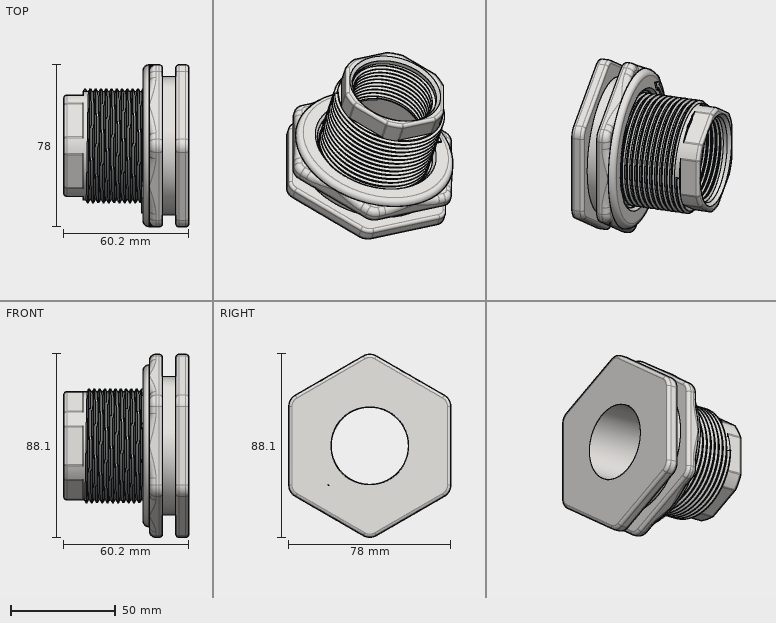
import cadquery as cq
import math

OVERALL_LENGTH = 60.2
ACROSS_FLATS = 77.98
HEX_THICKNESS = 6.35
HEX_CORNER_RADIUS = 6.35
EDGE_FILLET = 1.5875

SHANK_RADIUS = 26.1
WRENCH_LENGTH = 9.4
WRENCH_FLAT_DISTANCE = 24.38
BORE_RADIUS = 37.08 / 2
THREAD_PITCH = 2.54
THREAD_CREST_RADIUS = 27.4
THREAD_START = 10.3
THREAD_BASE_WIDTH = 1.8
THREAD_CREST_WIDTH = 0.4
THREAD_EMBED = 0.3

MOUTH_RADIUS = 22.5
MOUTH_DEPTH = 1.6
RELIEF_RADIUS = 20.9
RELIEF_END_X = 3.6
PIPE_START_X = 4.3
PIPE_END_X = 24.5
PIPE_START_RADIUS = 19.5
PIPE_TAPER = 1 / 32
PIPE_PITCH = 2.2
PIPE_GROOVE_START_X = 4.2
PIPE_GROOVE_DEPTH = 1.2
PIPE_GROOVE_ROOT_WIDTH = 0.4
PIPE_GROOVE_MOUTH_WIDTH = 1.8

GASKET_THICKNESS = 6.35
GASKET_OUTER_RADIUS = 66.67 / 2
GASKET_BORE_RADIUS = 57.15 / 2

COLLAR_THICKNESS = 3.05
COLLAR_FILLET = 3.0
NUT_FRONT_FILLET = 3.175
NUT_LEAD_IN_RADIUS = 30.0
NUT_THREAD_ROOT_RADIUS = 57.15 / 2
NUT_BORE_RADIUS = THREAD_CREST_RADIUS + 0.05
NUT_RELIEF_LENGTH = 0.8
BLEND_SECTIONS = 6

ARROW_HEIGHT = 0.8
ARROW_RADIUS = 33.42
ARROW_SHAFT_WIDTH = 1.52
ARROW_HEAD_WIDTH = 4.6
ARROW_TAIL_ANGLE = 18.6
ARROW_NECK_ANGLE = 45.2
ARROW_TIP_ANGLE = 54.8

FULL_TURN = 360

flange_x = OVERALL_LENGTH - HEX_THICKNESS
gasket_x = flange_x - GASKET_THICKNESS
nut_hex_x = gasket_x - HEX_THICKNESS
nut_x = nut_hex_x - COLLAR_THICKNESS
apothem = ACROSS_FLATS / 2


def cylinder(x, length, radius):
    return cq.Workplane("YZ").workplane(offset=x).circle(radius).extrude(length)


def revolve_about_x(profile):
    return cq.Workplane("XY").polyline(profile).close().revolve(FULL_TURN, (0, 0, 0), (1, 0, 0))


def hexagon(x, length, flat_distance):
    """Hexagonal prism along X with flats facing +Y and -Y."""
    corner_diameter = 2 * flat_distance / math.cos(math.pi / 6)
    plate = cq.Workplane("YZ").workplane(offset=x).polygon(6, corner_diameter).extrude(length)
    return plate.rotate((0, 0, 0), (1, 0, 0), 30)


def rounded_hexagon(x):
    plate = hexagon(x, HEX_THICKNESS, apothem)
    return plate.edges("|X").fillet(HEX_CORNER_RADIUS)


def helical_form(x, turns, pitch, base_radius, tip_radius, base_width, tip_width, taper=0, lefthand=False):
    """Trapezoidal form swept along a helix about X, starting on the +Y side."""
    outward = 1 if tip_radius > base_radius else -1
    height = turns * pitch
    cone_angle = math.degrees(math.atan(taper)) if taper else FULL_TURN
    helix = cq.Wire.makeHelix(
        pitch, height, base_radius, cq.Vector(0, 0, 0), cq.Vector(0, 0, 1), cone_angle, lefthand,
    )
    flank_slope = (base_width - tip_width) / 2 / abs(tip_radius - base_radius)
    foot_radius = base_radius - outward * THREAD_EMBED
    foot_width = base_width + 2 * flank_slope * THREAD_EMBED
    form = [
        (foot_radius, -foot_width / 2),
        (tip_radius, -tip_width / 2),
        (tip_radius, tip_width / 2),
        (foot_radius, foot_width / 2),
    ]
    ridge = cq.Workplane("XZ").polyline(form).close().sweep(cq.Workplane(helix), isFrenet=True)
    ridge = ridge.rotate((0, 0, 0), (1, 1, 1), 120)
    return ridge.translate((x, 0, 0))


def make_fitting():
    wrench_end = hexagon(0, WRENCH_LENGTH, WRENCH_FLAT_DISTANCE)
    wrench_end = wrench_end.intersect(cylinder(0, WRENCH_LENGTH, SHANK_RADIUS))
    wrench_end = wrench_end.edges("|X").fillet(EDGE_FILLET)
    wrench_end = wrench_end.faces("<X").edges().fillet(EDGE_FILLET)
    flange = rounded_hexagon(flange_x).faces("<X or >X").edges().fillet(EDGE_FILLET)

    thread_turns = (gasket_x - THREAD_START) / THREAD_PITCH
    thread = helical_form(
        THREAD_START, thread_turns, THREAD_PITCH, SHANK_RADIUS, THREAD_CREST_RADIUS,
        THREAD_BASE_WIDTH, THREAD_CREST_WIDTH, lefthand=True,
    )
    shank = cylinder(WRENCH_LENGTH, flange_x - WRENCH_LENGTH, SHANK_RADIUS).union(thread)
    return wrench_end.union(shank).union(flange).cut(fitting_cavity(), clean=False)


def fitting_cavity():
    """Open mouth, relief, tapered pipe thread and plain bore as one cutting solid."""
    pipe_length = PIPE_END_X - PIPE_START_X
    pipe_end_radius = PIPE_START_RADIUS - pipe_length * PIPE_TAPER
    profile = [
        (0, 0),
        (0, MOUTH_RADIUS),
        (MOUTH_DEPTH, RELIEF_RADIUS),
        (RELIEF_END_X, RELIEF_RADIUS),
        (PIPE_START_X, PIPE_START_RADIUS),
        (PIPE_END_X, pipe_end_radius),
        (PIPE_END_X, BORE_RADIUS),
        (OVERALL_LENGTH, BORE_RADIUS),
        (OVERALL_LENGTH, 0),
    ]
    groove_turns = (PIPE_END_X - PIPE_GROOVE_START_X) / PIPE_PITCH
    groove = helical_form(
        PIPE_GROOVE_START_X, groove_turns, PIPE_PITCH, PIPE_START_RADIUS,
        PIPE_START_RADIUS + PIPE_GROOVE_DEPTH, PIPE_GROOVE_MOUTH_WIDTH, PIPE_GROOVE_ROOT_WIDTH,
        taper=-PIPE_TAPER,
    )
    return revolve_about_x(profile).union(groove)


def make_gasket():
    return cylinder(gasket_x, GASKET_THICKNESS, GASKET_OUTER_RADIUS).cut(
        cylinder(gasket_x, GASKET_THICKNESS, GASKET_BORE_RADIUS))


def blend_cutter(reach):
    """Removes the edge of the +Y flat from mid-flat to `reach` along +Z.

    Each section is an arc tangent to the flat that starts on the collar's circle.
    """
    overhang = 1.0
    sections = []
    for i in range(BLEND_SECTIONS):
        along = reach * max(i / (BLEND_SECTIONS - 1), 0.02)
        depth = apothem - math.sqrt(apothem**2 - along**2)
        drop = max(NUT_FRONT_FILLET - depth, 0)
        run = math.sqrt(NUT_FRONT_FILLET**2 - drop**2)
        centre = (nut_hex_x + run, apothem - NUT_FRONT_FILLET)
        mid_angle = (math.pi / 2 + math.pi - math.asin(drop / NUT_FRONT_FILLET)) / 2
        arc_middle = (
            centre[0] + NUT_FRONT_FILLET * math.cos(mid_angle),
            centre[1] + NUT_FRONT_FILLET * math.sin(mid_angle),
        )
        section = (
            cq.Workplane("XY").workplane(offset=along)
            .moveTo(nut_hex_x, apothem - depth)
            .threePointArc(arc_middle, (nut_hex_x + run, apothem))
            .lineTo(nut_hex_x + run, apothem + overhang)
            .lineTo(nut_hex_x, apothem + overhang)
            .close()
        )
        sections.append(section.val())
    return cq.Workplane(cq.Solid.makeLoft(sections, False))


def make_nut_hexagon():
    """Hexagon whose -X edge rounding fades to nothing where the collar touches each flat."""
    plain = rounded_hexagon(nut_hex_x).faces(">X").edges().fillet(EDGE_FILLET)
    body = plain.faces("<X").edges().fillet(NUT_FRONT_FILLET)
    reach = math.sqrt(apothem**2 - (apothem - NUT_FRONT_FILLET)**2)
    side = cq.Workplane("XY").box(HEX_THICKNESS, apothem, 2 * reach).translate(
        (nut_hex_x + HEX_THICKNESS / 2, apothem / 2, 0))
    cutter = blend_cutter(reach)
    side = side.intersect(plain).cut(cutter).cut(cutter.mirror("XY"))
    for i in range(6):
        body = body.union(side.rotate((0, 0, 0), (1, 0, 0), 60 * i))
    return body


def nut_cavity():
    """Conical lead-in, short relief and threaded bore as one cutting solid."""
    thread_depth = NUT_THREAD_ROOT_RADIUS - NUT_BORE_RADIUS
    relief_x = nut_x + NUT_LEAD_IN_RADIUS - NUT_THREAD_ROOT_RADIUS
    shoulder_x = relief_x + NUT_RELIEF_LENGTH
    bore_x = shoulder_x + thread_depth * math.tan(math.pi / 6)
    profile = [
        (nut_x, 0),
        (nut_x, NUT_LEAD_IN_RADIUS),
        (relief_x, NUT_THREAD_ROOT_RADIUS),
        (shoulder_x, NUT_THREAD_ROOT_RADIUS),
        (bore_x, NUT_BORE_RADIUS),
        (gasket_x, NUT_BORE_RADIUS),
        (gasket_x, 0),
    ]
    groove = helical_form(
        bore_x, (gasket_x - bore_x) / THREAD_PITCH, THREAD_PITCH, NUT_BORE_RADIUS,
        NUT_THREAD_ROOT_RADIUS, THREAD_BASE_WIDTH, THREAD_CREST_WIDTH, lefthand=True,
    )
    return revolve_about_x(profile).union(groove)


def arrow_point(radius, angle):
    return (-radius * math.cos(math.radians(angle)), radius * math.sin(math.radians(angle)))


def make_arrow():
    shaft_outer = ARROW_RADIUS + ARROW_SHAFT_WIDTH / 2
    shaft_inner = ARROW_RADIUS - ARROW_SHAFT_WIDTH / 2
    middle_angle = (ARROW_TAIL_ANGLE + ARROW_NECK_ANGLE) / 2
    return (
        cq.Workplane("YZ").workplane(offset=nut_x - ARROW_HEIGHT)
        .moveTo(*arrow_point(shaft_outer, ARROW_TAIL_ANGLE))
        .threePointArc(arrow_point(shaft_outer, middle_angle), arrow_point(shaft_outer, ARROW_NECK_ANGLE))
        .lineTo(*arrow_point(ARROW_RADIUS + ARROW_HEAD_WIDTH / 2, ARROW_NECK_ANGLE))
        .lineTo(*arrow_point(ARROW_RADIUS, ARROW_TIP_ANGLE))
        .lineTo(*arrow_point(ARROW_RADIUS - ARROW_HEAD_WIDTH / 2, ARROW_NECK_ANGLE))
        .lineTo(*arrow_point(shaft_inner, ARROW_NECK_ANGLE))
        .threePointArc(arrow_point(shaft_inner, middle_angle), arrow_point(shaft_inner, ARROW_TAIL_ANGLE))
        .close()
        .extrude(ARROW_HEIGHT)
    )


def make_nut():
    collar = cylinder(nut_x, COLLAR_THICKNESS, apothem).faces("<X").edges().fillet(COLLAR_FILLET)
    return make_nut_hexagon().union(collar).union(make_arrow()).cut(nut_cavity(), clean=False)


fitting = make_fitting().solids()
gasket = make_gasket().solids()
nut = make_nut().solids()

result = cq.Compound.makeCompound([fitting.val(), gasket.val(), nut.val()])